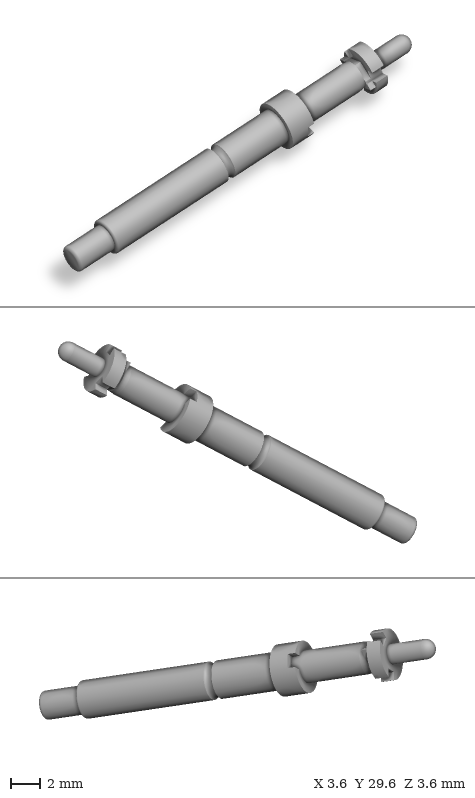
import cadquery as cq

overall_length = 29.6
head_front = 3.3
head_back = 4.3
key_back = 4.75
neck_end = 5.2
collar_front = 9.75
collar_back = 11.65
groove_front = 16.3
groove_width = 0.6
barrel_end = 26.6

plunger_radius = 0.7
head_radius = 1.78
neck_radius = 1.07
sleeve_radius = 1.125
collar_radius = 1.8
barrel_radius = 1.325
tail_radius = 1.0

groove_depth = 0.2
barrel_fillet = 0.15
tail_fillet = 0.22

notch_count = 3
notch_first_angle = 30.0
notch_width = 0.82
notch_floor = 1.15

key_half_width = 1.68
key_half_height = 1.12

slot_width = 1.0
slot_depth = 0.55


def axial(station):
    """Y coordinate of a station, with the origin at mid-length."""
    return overall_length / 2 - station


def prism_plane(station):
    """XZ plane at a station; positive extrusion runs towards the tip (+Y)."""
    return cq.Plane(origin=(0, axial(station), 0), xDir=(1, 0, 0), normal=(0, 1, 0))


def section(radius, front, back):
    """Plain cylinder between two stations."""
    return cq.Workplane(prism_plane(back)).circle(radius).extrude(back - front)


def plunger():
    """Pin with a hemispherical tip."""
    profile = (
        cq.Workplane("XY")
        .moveTo(0, axial(0))
        .radiusArc((plunger_radius, axial(plunger_radius)), plunger_radius)
        .lineTo(plunger_radius, axial(head_back))
        .lineTo(0, axial(head_back))
        .close()
    )
    return profile.revolve(360, (0, 0, 0), (0, 1, 0))


def rhombic_key():
    """Rhombus behind the head, wide along X and about as tall as the sleeve along Z."""
    outline = cq.Workplane(prism_plane(key_back)).polyline([
        (key_half_width, 0),
        (0, key_half_height),
        (-key_half_width, 0),
        (0, -key_half_height),
    ])
    return outline.close().extrude(key_back - head_back)


def notched_head():
    """Round head and rhombic key, both cut by radial flat-floored notches."""
    head = section(head_radius, head_front, head_back).union(rhombic_key())
    length = key_back - head_front
    for index in range(notch_count):
        angle = notch_first_angle + index * 360.0 / notch_count
        notch = (
            cq.Workplane("XY")
            .box(head_radius, length, notch_width, centered=(False, True, True))
            .translate((notch_floor, axial(head_front + length / 2), 0))
            .rotate((0, 0, 0), (0, 1, 0), -angle)
        )
        head = head.cut(notch)
    return head


def sleeve():
    """Slim body between key and collar, tapered at its front."""
    profile = cq.Workplane("XY").polyline([
        (0, axial(key_back)),
        (neck_radius, axial(key_back)),
        (sleeve_radius, axial(neck_end)),
        (sleeve_radius, axial(collar_back)),
        (0, axial(collar_back)),
    ])
    return profile.close().revolve(360, (0, 0, 0), (0, 1, 0))


def slotted_collar():
    """Collar with a slot across X in its front face."""
    collar = section(collar_radius, collar_front, collar_back)
    slot = (
        cq.Workplane("XY")
        .box(2 * collar_radius, slot_depth, slot_width)
        .translate((0, axial(collar_front + slot_depth / 2), 0))
    )
    return collar.cut(slot)


def barrel():
    """Main tube with a rounded crimp groove and a rounded rear edge."""
    tube = section(barrel_radius, collar_back, barrel_end).faces("<Y").edges().fillet(barrel_fillet)
    half_width = groove_width / 2
    ring_radius = (half_width ** 2 + groove_depth ** 2) / (2 * groove_depth)
    ring_centre = barrel_radius - groove_depth + ring_radius
    groove = (
        cq.Workplane("XY")
        .center(ring_centre, axial(groove_front + half_width))
        .circle(ring_radius)
        .revolve(360, (-ring_centre, 0, 0), (-ring_centre, 1, 0))
    )
    return tube.cut(groove)


def tail():
    """Terminal pin with a rounded end."""
    return section(tail_radius, barrel_end, overall_length).faces("<Y").edges().fillet(tail_fillet)


result = (
    plunger()
    .union(notched_head())
    .union(sleeve())
    .union(slotted_collar())
    .union(barrel())
    .union(tail())
)